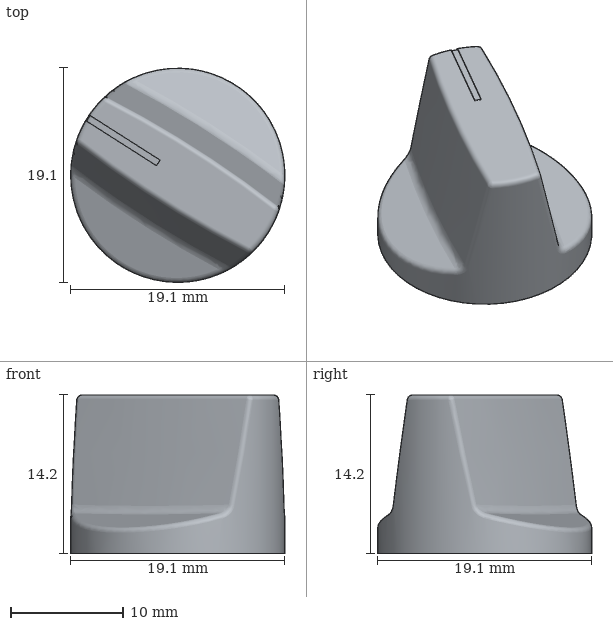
import cadquery as cq
import math

diameter = 19.1
radius = diameter / 2
height = 14.15

grip_angle = -32.5
grip_top_half_width = 2.8
grip_draft = 11.0
bow_radius = 100.08
grip_half_length = 1.3 * radius

shoulder_rim_height = 2.22
shoulder_slope = 17.0

root_fillet = 1.0
edge_fillet = 0.5

groove_width = 0.6
groove_depth = 0.1
groove_inner_end = 2.06
groove_bottom = 7.15


def make_grip():
    """Two shallow arcs joined end to end by short flats, tapering upward."""
    half_width = grip_top_half_width + height * math.tan(math.radians(grip_draft))
    bow = bow_radius - math.sqrt(bow_radius**2 - grip_half_length**2)
    end_half_width = half_width - bow
    return (
        cq.Workplane("XY")
        .moveTo(-grip_half_length, end_half_width)
        .threePointArc((0, half_width), (grip_half_length, end_half_width))
        .lineTo(grip_half_length, -end_half_width)
        .threePointArc((0, -half_width), (-grip_half_length, -end_half_width))
        .close()
        .extrude(height, taper=grip_draft)
    )


def make_shoulders():
    """Gable-shaped prism whose roof forms both sloping shoulders."""
    ridge_height = shoulder_rim_height + radius * math.tan(math.radians(shoulder_slope))
    return (
        cq.Workplane("YZ")
        .polyline([
            (-radius, 0),
            (radius, 0),
            (radius, shoulder_rim_height),
            (0, ridge_height),
            (-radius, shoulder_rim_height),
        ])
        .close()
        .extrude(radius, both=True)
    )


def make_groove():
    """Slab across one end of the grip, hollowed to leave a cut of even depth."""
    length = radius - groove_inner_end
    slab = (
        cq.Workplane("XY")
        .box(length, groove_width, height - groove_bottom, centered=(False, True, False))
        .translate((-radius, 0, groove_bottom))
    )
    core = (
        cq.Workplane("XY")
        .circle(radius - groove_depth)
        .extrude(height - groove_depth)
        .faces(">Z")
        .edges()
        .fillet(edge_fillet - groove_depth)
    )
    return slab.cut(core)


cylinder = cq.Workplane("XY").circle(radius).extrude(height)
knob = make_grip().union(make_shoulders()).intersect(cylinder)

root_zone = cq.selectors.BoxSelector(
    (-radius / 4, -radius, shoulder_rim_height), (radius / 4, radius, height / 2)
)
knob = knob.edges(root_zone).fillet(root_fillet)

base_edges = cq.selectors.DirectionMinMaxSelector(cq.Vector(0, 0, 1), False)
seam = cq.selectors.TypeSelector("LINE")
outer_edges = cq.selectors.InverseSelector(root_zone + base_edges + seam)
knob = knob.edges(outer_edges).fillet(edge_fillet)

result = knob.cut(make_groove()).rotate((0, 0, 0), (0, 0, 1), grip_angle)